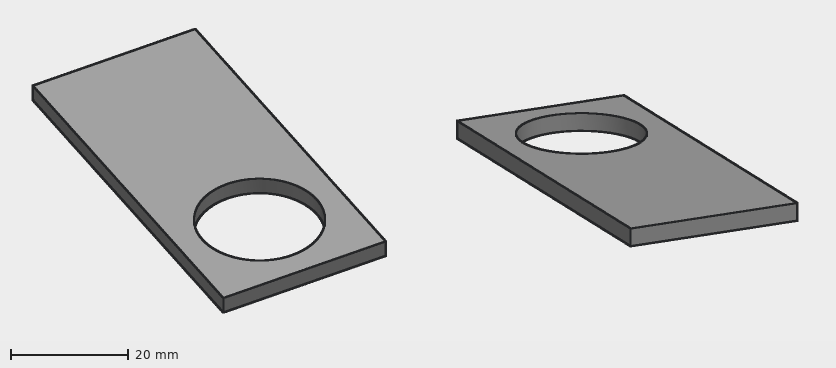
import cadquery as cq

length = 66.55
width = 31.75
thickness = 3.2

hole_diameter = 22.35
hole_center_to_end = 15.7
hole_x = length / 2 - hole_center_to_end

plate = cq.Workplane("XY").box(length, width, thickness)

result = plate.faces(">Z").workplane().center(hole_x, 0).hole(hole_diameter)